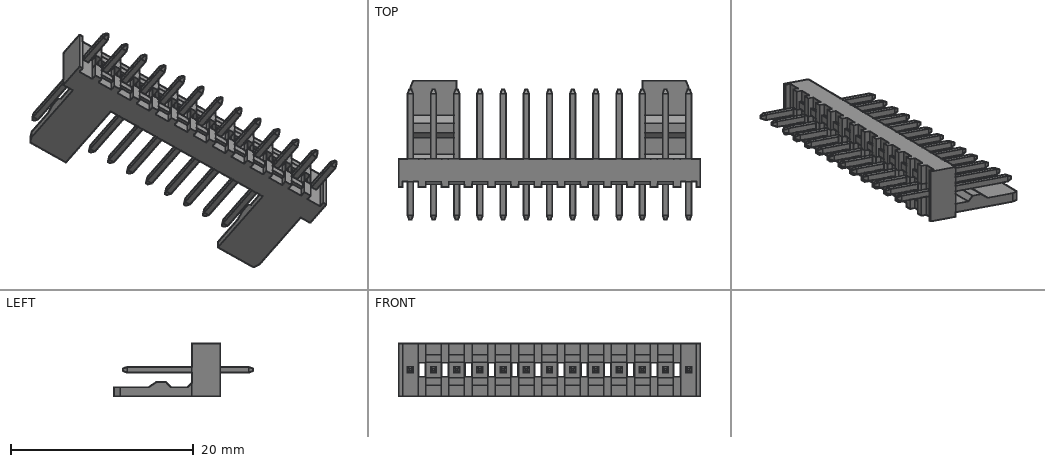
import cadquery as cq


PITCH = 2.54
PIN_COUNT = 13
HOUSING_LENGTH = PIN_COUNT * PITCH
HOUSING_DEPTH = 3.1
HOUSING_HEIGHT = 5.8
FRONT_Y = -HOUSING_DEPTH
MID_Z = HOUSING_HEIGHT / 2

GROOVE_WIDTH = 1.7
GROOVE_DEPTH = 0.6
GROOVE_FLOOR_Y = FRONT_Y + GROOVE_DEPTH

PAD_HEIGHT = 0.82
PAD_THICKNESS = 0.3
PAD_OFFSET = 1.26

WINDOW_WIDTH = 0.7
WINDOW_HEIGHT = 1.5

PIN_WIDTH = 0.64
TIP_WIDTH = 0.26
TIP_LENGTH = 0.5
PIN_FRONT_Y = FRONT_Y - 3.6
PIN_BACK_Y = 7.6

LATCH_SPAN = 2 * PITCH
LATCH_LENGTH = 8.56
LATCH_THICKNESS = 1.0
BUMP_TOP_Z = 1.57
BUMP_NEAR_FOOT_Y = 2.3
BUMP_NEAR_CREST_Y = 2.85
BUMP_FAR_CREST_Y = 3.9
BUMP_FAR_FOOT_Y = 4.75
ROOT_BEVEL = 0.5
CORNER_CUT_X = 0.3
CORNER_CUT_Y = 0.7

PIN_XS = [(i - (PIN_COUNT - 1) / 2) * PITCH for i in range(PIN_COUNT)]
ROW_END_X = PIN_XS[-1]


def box(x_center, z_center, width, height, y_start, y_end):
    """Block centred in X and Z that runs from y_start to y_end."""
    block = cq.Workplane("XY").box(width, y_end - y_start, height, centered=(True, False, True))
    return block.translate((x_center, y_start, z_center))


def make_housing():
    housing = box(0, MID_Z, HOUSING_LENGTH, HOUSING_HEIGHT, FRONT_Y, 0)
    for x in PIN_XS:
        housing = housing.cut(box(x, MID_Z, GROOVE_WIDTH, HOUSING_HEIGHT, FRONT_Y, GROOVE_FLOOR_Y))
    for x in PIN_XS[:-1]:
        window = box(x + PITCH / 2, MID_Z, WINDOW_WIDTH, WINDOW_HEIGHT, FRONT_Y, 0)
        housing = housing.cut(window)
    for x in PIN_XS[1:-1]:
        for side in (-1, 1):
            pad_z = MID_Z + side * PAD_OFFSET
            pad_front_y = GROOVE_FLOOR_Y - PAD_THICKNESS
            pad = box(x, pad_z, GROOVE_WIDTH, PAD_HEIGHT, pad_front_y, GROOVE_FLOOR_Y)
            housing = housing.union(pad)
    return housing


def make_tip(shank_end_y, direction):
    """Tapered square tip that points along Y in the given direction (1 or -1)."""
    plane = cq.Plane(origin=(0, shank_end_y, MID_Z), xDir=(1, 0, 0), normal=(0, direction, 0))
    shank_end = cq.Workplane(plane).rect(PIN_WIDTH, PIN_WIDTH)
    return shank_end.workplane(offset=TIP_LENGTH).rect(TIP_WIDTH, TIP_WIDTH).loft(ruled=True)


def make_pin():
    shank_front_y = PIN_FRONT_Y + TIP_LENGTH
    shank_back_y = PIN_BACK_Y - TIP_LENGTH
    shank = box(0, MID_Z, PIN_WIDTH, PIN_WIDTH, shank_front_y, shank_back_y)
    return shank.union(make_tip(shank_front_y, -1)).union(make_tip(shank_back_y, 1))


def make_latch():
    """Latch at the -X end: a bumped tongue with its outer free corner cut off."""
    profile = [
        (0, 0),
        (LATCH_LENGTH, 0),
        (LATCH_LENGTH, LATCH_THICKNESS),
        (BUMP_FAR_FOOT_Y, LATCH_THICKNESS),
        (BUMP_FAR_CREST_Y, BUMP_TOP_Z),
        (BUMP_NEAR_CREST_Y, BUMP_TOP_Z),
        (BUMP_NEAR_FOOT_Y, LATCH_THICKNESS),
        (ROOT_BEVEL, LATCH_THICKNESS),
        (0, LATCH_THICKNESS + ROOT_BEVEL),
    ]
    tongue = cq.Workplane("YZ", origin=(-ROW_END_X, 0, 0)).polyline(profile).close().extrude(LATCH_SPAN)
    corner = [
        (-ROW_END_X, LATCH_LENGTH),
        (-ROW_END_X + CORNER_CUT_X, LATCH_LENGTH),
        (-ROW_END_X, LATCH_LENGTH - CORNER_CUT_Y),
    ]
    return tongue.cut(cq.Workplane("XY").polyline(corner).close().extrude(LATCH_THICKNESS))


latch = make_latch()
pin = make_pin()
result = make_housing().union(latch).union(latch.mirror("YZ"))
for pin_x in PIN_XS:
    result = result.union(pin.translate((pin_x, 0, 0)))